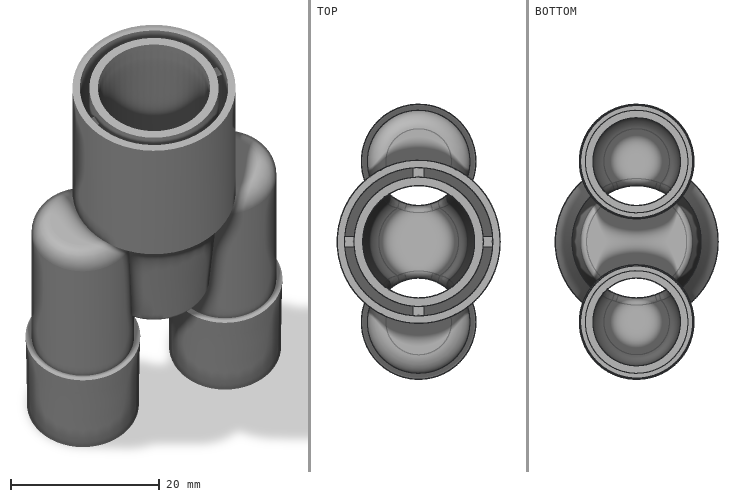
import cadquery as cq

wall = 1.0
total_height = 60.9
quarter_turn = 90.0

socket_diameter = 22.0
groove_outer_diameter = 20.0
groove_inner_diameter = 17.4
socket_bore_diameter = 15.1
shoulder_z = 39.0
spacer_width = 1.45
spacer_top_depth = 2.0

cup_top_z = 36.5
cup_bottom_z = 20.4
cup_bottom_radius = 7.5
cup_edge_radius = 0.8
floor_z = cup_bottom_z + wall
cup_cavity_bottom_radius = cup_bottom_radius - wall
cup_cavity_edge_radius = 1.2
opening_edge_radius = 1.0
edge_tolerance = 0.05

leg_spacing = 21.6
leg_diameter = 13.8
leg_bore_diameter = 11.8
leg_dome_radius = shoulder_z - cup_top_z
leg_wall = (leg_diameter - leg_bore_diameter) / 2
leg_positions = [(0, -leg_spacing / 2), (0, leg_spacing / 2)]

sleeve_height = 14.4
sleeve_top_diameter = 15.45
sleeve_bottom_diameter = 15.1


def cylinder(diameter, bottom_z, top_z):
    """Upright cylinder centred on the Z axis."""
    return cq.Workplane("XY").workplane(offset=bottom_z).circle(diameter / 2).extrude(top_z - bottom_z)


def domed_cylinder(diameter, top_z, dome_radius):
    """Cylinder that stands on Z = 0 and has a rounded top edge."""
    return cylinder(diameter, 0, top_z).faces(">Z").edges().fillet(dome_radius)


def revolved(outline):
    """Solid of revolution from (radius, height) points."""
    return cq.Workplane("XZ").polyline(outline).close().revolve()


def at_legs(shape):
    """Both leg copies of a shape, joined as one cutting or adding tool."""
    first, second = [shape.translate((x, y, 0)) for x, y in leg_positions]
    return first.union(second)


def socket_and_cup():
    """Socket, its conical shoulder and the cup, still without the bore."""
    outline = [
        (0, cup_bottom_z),
        (cup_bottom_radius, cup_bottom_z),
        (groove_inner_diameter / 2, cup_top_z),
        (socket_diameter / 2, shoulder_z),
        (socket_diameter / 2, total_height),
        (0, total_height),
    ]
    return revolved(outline).faces("<Z").edges().fillet(cup_edge_radius)


def socket_groove():
    """Ring-shaped gap between the two socket walls, bridged by four spacers."""
    groove = cylinder(groove_outer_diameter, shoulder_z, total_height).cut(
        cylinder(groove_inner_diameter, shoulder_z, total_height)
    )
    spacer_height = total_height - spacer_top_depth - shoulder_z
    bridge = cq.Workplane("XY").workplane(offset=shoulder_z)
    bridge = bridge.rect(socket_diameter, spacer_width).extrude(spacer_height)
    for angle in (0, quarter_turn):
        groove = groove.cut(bridge.rotate((0, 0, 0), (0, 0, 1), angle))
    return groove


def cup_cavity():
    """Socket bore that narrows to the rounded edge of the cup floor."""
    outline = [
        (0, floor_z),
        (cup_cavity_bottom_radius, floor_z),
        (socket_bore_diameter / 2, cup_top_z),
        (socket_bore_diameter / 2, total_height),
        (0, total_height),
    ]
    return revolved(outline).faces("<Z").edges().fillet(cup_cavity_edge_radius)


def make_housing():
    """Socket, cup and both hollow legs as one body."""
    leg = domed_cylinder(leg_diameter, shoulder_z, leg_dome_radius)
    leg_bore = domed_cylinder(leg_bore_diameter, shoulder_z - leg_wall, leg_dome_radius - leg_wall)
    housing = (
        socket_and_cup()
        .union(at_legs(leg))
        .cut(socket_groove())
        .cut(cup_cavity())
        .cut(at_legs(leg_bore))
    )
    return round_bore_openings(housing)


def round_bore_openings(housing):
    """Round the edges where the leg bores break through the cup floor and wall."""
    reach = cup_cavity_bottom_radius
    lowest = (-reach, -reach, floor_z - edge_tolerance)
    highest = (reach, reach, floor_z + edge_tolerance)
    floor_outline = housing.edges(cq.selectors.BoxSelector(lowest, highest))
    bore_edges = floor_outline.edges("<Y or >Y")
    return bore_edges.fillet(opening_edge_radius)


def make_sleeve():
    """Sleeve that narrows downward and fits closely around a leg."""
    outline = [
        (leg_diameter / 2, 0),
        (sleeve_bottom_diameter / 2, 0),
        (sleeve_top_diameter / 2, sleeve_height),
        (leg_diameter / 2, sleeve_height),
    ]
    return revolved(outline)


housing = make_housing()
sleeves = [make_sleeve().translate((x, y, 0)) for x, y in leg_positions]

result = cq.Compound.makeCompound([housing.val(), *[sleeve.val() for sleeve in sleeves]])